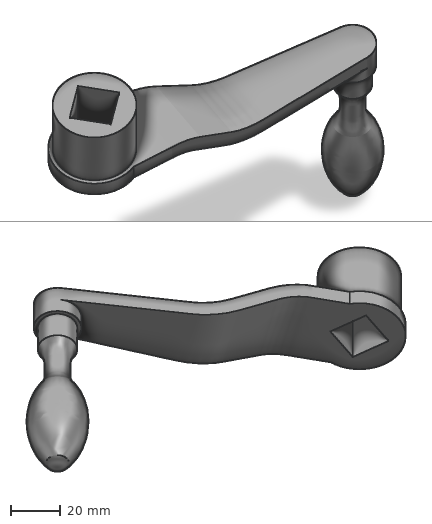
import cadquery as cq
import math


hub_diameter = 34.0
hub_height = 27.2
flange_diameter = 37.4
square_diagonal = 24.0

plate_thickness = 6.9
crank_length = 125.1
arm_drop = 17.2
bend_start = 24.5
bend_run = 16.1
taper_start = 26.3
root_half_width = hub_diameter / 2
tip_radius = 19.2 / 2

boss_height = 6.5
shank_radius = 16.0 / 2
shank_height = 12.4
neck_radius = 5.3
upper_flare_height = 7.8
neck_height = 8.0
lower_flare_height = 8.3
grip_start_radius = 8.1
grip_radius = 25.2 / 2
grip_upper_height = 17.5
grip_lower_height = 24.4
grip_end_radius = 4.7
total_height = 138.0


def make_hub():
    flange = cq.Workplane("XY").circle(flange_diameter / 2).extrude(-plate_thickness)
    barrel = cq.Workplane("XY").circle(hub_diameter / 2).extrude(hub_height)
    return flange.union(barrel)


def bend_angle():
    """Angle whose two bends and middle slope, each bend_run long, add up to the arm drop."""
    steepest = math.pi / 3
    halvings = 60
    low = 0.0
    high = steepest
    for _ in range(halvings):
        angle = (low + high) / 2
        drop = bend_run * (2 * math.tan(angle / 2) + math.tan(angle))
        if drop < arm_drop:
            low = angle
        else:
            high = angle
    return angle


def make_bent_strip():
    """Plate of constant thickness, bent in an S, wider than the arm."""
    angle = bend_angle()
    bend_radius = bend_run / math.sin(angle)
    bend_drop = bend_radius * (1 - math.cos(angle))
    bend_end = bend_start + 3 * bend_run

    slope_top = (bend_start + bend_run, -bend_drop)
    slope_bottom = (bend_start + 2 * bend_run, bend_drop - arm_drop)
    path_end = (crank_length + tip_radius, -arm_drop)
    top_line = (
        cq.Workplane("YZ")
        .lineTo(bend_start, 0)
        .tangentArcPoint(slope_top, relative=False)
        .lineTo(*slope_bottom)
        .tangentArcPoint((bend_end, -arm_drop), relative=False)
        .lineTo(*path_end)
    )
    section = cq.Workplane("XZ").center(0, -plate_thickness / 2).rect(flange_diameter, plate_thickness)
    return section.sweep(top_line)


def make_arm():
    taper_length = crank_length - taper_start
    reach = math.hypot(taper_length, root_half_width)
    tilt = math.asin(tip_radius / reach) - math.atan2(root_half_width, taper_length)
    tangent_x = tip_radius * math.cos(tilt)
    tangent_y = crank_length - tip_radius * math.sin(tilt)
    outline = (
        cq.Workplane("XY")
        .workplane(offset=-total_height)
        .moveTo(-root_half_width, 0)
        .lineTo(root_half_width, 0)
        .lineTo(root_half_width, taper_start)
        .lineTo(tangent_x, tangent_y)
        .threePointArc((0, crank_length + tip_radius), (-tangent_x, tangent_y))
        .lineTo(-root_half_width, taper_start)
        .close()
        .extrude(2 * total_height)
    )
    return make_bent_strip().intersect(outline)


def halfway_point(vertical_end, other_end):
    """Point at mid height on the arc that is vertical at vertical_end."""
    rise = other_end[1] - vertical_end[1]
    step = other_end[0] - vertical_end[0]
    signed_radius = (rise**2 + step**2) / (2 * step)
    sagitta = abs(signed_radius) - math.sqrt(signed_radius**2 - (rise / 2) ** 2)
    return (vertical_end[0] + math.copysign(sagitta, step), vertical_end[1] + rise / 2)


def make_handle():
    arm_bottom = -arm_drop - plate_thickness
    boss_bottom = arm_bottom - boss_height
    shank_end = (shank_radius, boss_bottom - shank_height)
    neck_top = (neck_radius, shank_end[1] - upper_flare_height)
    neck_bottom = (neck_radius, neck_top[1] - neck_height)
    grip_start = (grip_start_radius, neck_bottom[1] - lower_flare_height)
    grip_widest = (grip_radius, grip_start[1] - grip_upper_height)
    grip_end = (grip_end_radius, grip_widest[1] - grip_lower_height)
    dome_bottom = (0, hub_height - total_height)
    dome_height = grip_end[1] - dome_bottom[1]
    dome_radius = (grip_end_radius**2 + dome_height**2) / (2 * dome_height)

    profile = (
        cq.Workplane("XZ")
        .moveTo(0, arm_bottom)
        .lineTo(tip_radius, arm_bottom)
        .lineTo(tip_radius, boss_bottom)
        .lineTo(shank_radius, boss_bottom)
        .lineTo(*shank_end)
        .threePointArc(halfway_point(neck_top, shank_end), neck_top)
        .lineTo(*neck_bottom)
        .threePointArc(halfway_point(neck_bottom, grip_start), grip_start)
        .threePointArc(halfway_point(grip_widest, grip_start), grip_widest)
        .threePointArc(halfway_point(grip_widest, grip_end), grip_end)
        .radiusArc(dome_bottom, dome_radius)
        .close()
    )
    return profile.revolve(360, (0, 0, 0), (0, 1, 0)).translate((0, crank_length, 0))


square_hole = (
    cq.Workplane("XY")
    .workplane(offset=-plate_thickness)
    .polygon(4, square_diagonal)
    .extrude(plate_thickness + hub_height)
)

result = make_hub().union(make_arm()).union(make_handle()).cut(square_hole)